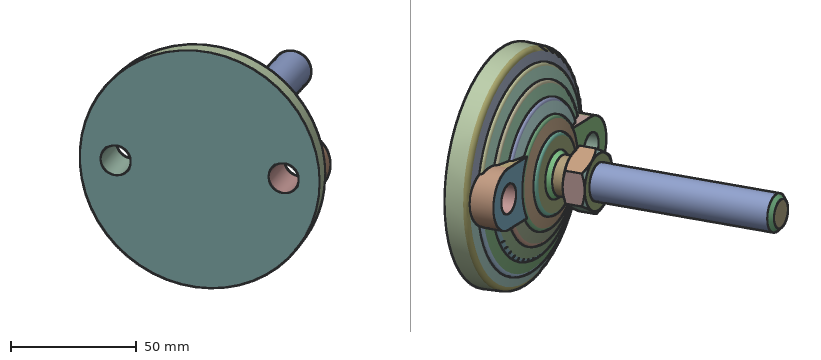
import cadquery as cq
import math


foot_radius = 50.0
rim_top_radius = 49.6
rim_height = 8.4
rim_round = 2.0

step_count = 5
first_step_radius = 43.5
first_step_height = 11.5
last_step_radius = 17.2
last_step_height = 22.8
step_run = (first_step_radius - last_step_radius) / (step_count - 1)
step_rise = (last_step_height - first_step_height) / (step_count - 1)
step_round = 1.5
foot_top = last_step_height + step_round

hole_spacing = 70.0
hole_diameter = 12.5
bar_width = 26.0
bar_top = 21.0

collar_radius = 10.1
neck_radius = 17.0 / 2
neck_start = 26.5
hex_start = 33.0
hex_height = 10.0
hex_flats = 24.0
rod_radius = 16.0 / 2
rod_end = 125.0
rod_chamfer_length = 2.0
rod_chamfer_depth = 2.0

hex_corner_radius = hex_flats / 2 / math.cos(math.radians(30))
hex_face_radius = 11.9
hex_chamfer_length = 1.2


def revolve_about_y(profile):
    """Turn a closed radius-height profile about the Y axis."""
    return profile.close().revolve(360, (0, 0, 0), (0, 1, 0))


def add_quarter_round(profile, radius, height, size):
    """Continue from (radius, height) inwards and up around a convex quarter circle."""
    diagonal = size * math.sqrt(0.5)
    middle = (radius - size + diagonal, height + diagonal)
    return profile.threePointArc(middle, (radius - size, height + size))


def make_foot():
    profile = cq.Workplane("XY").lineTo(foot_radius, 0).lineTo(rim_top_radius, rim_height)
    profile = add_quarter_round(profile, rim_top_radius, rim_height, rim_round)
    for step in range(step_count):
        radius = first_step_radius - step * step_run
        height = first_step_height + step * step_rise
        profile = profile.lineTo(radius, height)
        profile = add_quarter_round(profile, radius, height, step_round)
    foot = revolve_about_y(profile.lineTo(0, foot_top))

    bar = cq.Workplane("XZ").slot2D(hole_spacing + bar_width, bar_width).extrude(-bar_top)
    hole_centres = [(-hole_spacing / 2, 0), (hole_spacing / 2, 0)]
    holes = cq.Workplane("XZ").pushPoints(hole_centres).circle(hole_diameter / 2).extrude(-bar_top)
    return foot.union(bar).cut(holes)


def make_hexagon():
    """Hexagon with flats facing +X and -X, and its corners chamfered at both ends."""
    hex_end = hex_start + hex_height
    hexagon = (
        cq.Workplane("XZ", origin=(0, hex_start, 0))
        .transformed(rotate=(0, 0, 30))
        .polygon(6, 2 * hex_corner_radius)
        .extrude(-hex_height)
    )
    envelope = revolve_about_y(
        cq.Workplane("XY")
        .moveTo(0, hex_start)
        .lineTo(hex_face_radius, hex_start)
        .lineTo(hex_corner_radius, hex_start + hex_chamfer_length)
        .lineTo(hex_corner_radius, hex_end - hex_chamfer_length)
        .lineTo(hex_face_radius, hex_end)
        .lineTo(0, hex_end)
    )
    return hexagon.intersect(envelope)


def make_spindle():
    """Flared collar, neck, hexagon and rod in one piece, resting on top of the foot."""
    shaft = revolve_about_y(
        cq.Workplane("XY")
        .moveTo(0, foot_top)
        .lineTo(collar_radius, foot_top)
        .lineTo(neck_radius, neck_start)
        .lineTo(neck_radius, hex_start)
        .lineTo(rod_radius, hex_start)
        .lineTo(rod_radius, rod_end - rod_chamfer_length)
        .lineTo(rod_radius - rod_chamfer_depth, rod_end)
        .lineTo(0, rod_end)
    )
    return shaft.union(make_hexagon())


foot = make_foot()
spindle = make_spindle()
result = cq.Compound.makeCompound([foot.val(), spindle.val()])